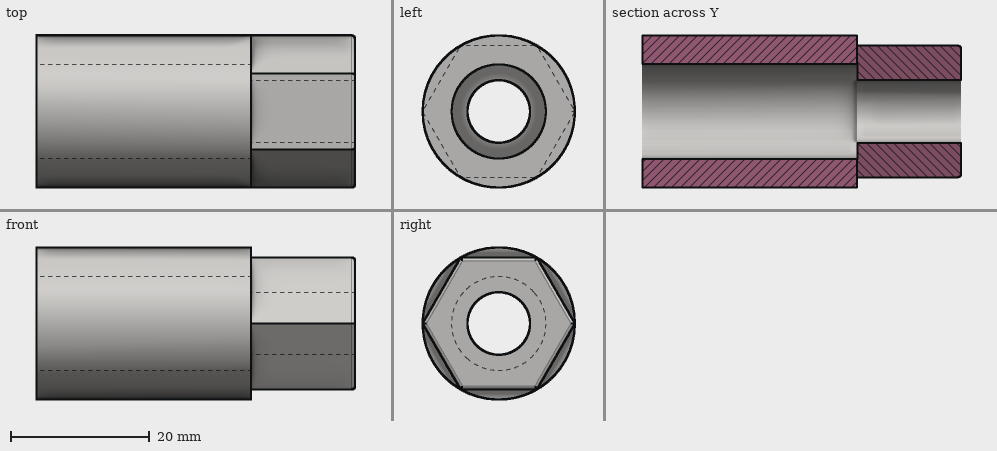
import cadquery as cq

sleeve_length = 31.0
hex_length = 15.0

outer_diameter = 22.0
sleeve_bore_diameter = 13.6
hex_bore_diameter = 9.0
end_round = 0.5


def make_sleeve():
    """Plain tube starting at X = 0."""
    return (
        cq.Workplane("YZ")
        .circle(outer_diameter / 2)
        .circle(sleeve_bore_diameter / 2)
        .extrude(sleeve_length)
    )


def make_hex_head():
    """Hexagonal head butted against the sleeve, corners on the Y axis, with a smaller bore."""
    head = (
        cq.Workplane("YZ", origin=(sleeve_length, 0, 0))
        .polygon(6, outer_diameter)
        .extrude(hex_length)
        .faces(">X")
        .edges()
        .fillet(end_round)
    )
    bore = (
        cq.Workplane("YZ", origin=(sleeve_length, 0, 0))
        .circle(hex_bore_diameter / 2)
        .extrude(hex_length)
    )
    return head.cut(bore)


sleeve = make_sleeve()
hex_head = make_hex_head()

result = cq.Compound.makeCompound([sleeve.val(), hex_head.val()])